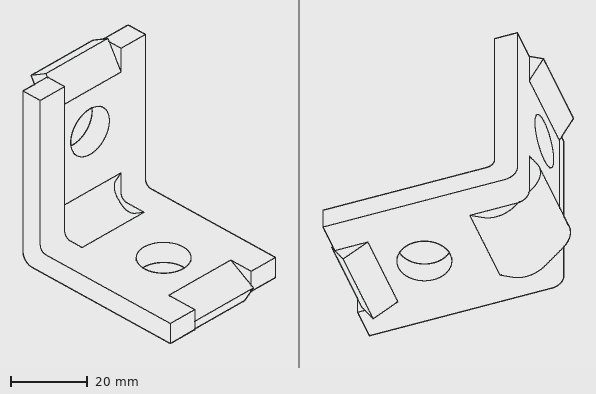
import cadquery as cq
import math

thickness = 6.35
leg_length = 54.1
total_width = 41.3
band_width = 23.1
strip_width = (total_width - band_width) / 2
front_strip_shift = 2.05
strip_outer_radius = 3.35
strip_inner_radius = 2.1

bend_angle = math.radians(30)
bulge_start = 16.5
corner_cut = 3.05
corner_thickness = 5.8
bulge_outer_radius = 7.2
bulge_inner_radius = 4.45
lip_start = 44.9
lip_length = 7.95

hole_diameter = 14.35
hole_offset = 33.35


def extrude_outline(points, width, y_min):
    """Extrude an (X, Z) outline along +Y, starting at y_min."""
    return cq.Workplane("XZ", origin=(0, y_min, 0)).polyline(points).close().extrude(-width)


def fillet_corner(body, point, y_mid, radius):
    """Round the Y-parallel edge that passes through an (X, Z) point."""
    edge = cq.selectors.NearestToPointSelector((point[0], y_mid, point[1]))
    return body.edges("|Y").edges(edge).fillet(radius)


def make_strip(x_min, y_min):
    """Plain L-shaped side strip with a rounded corner."""
    outer = (x_min, 0)
    inner = (x_min + thickness, thickness)
    x_max = x_min + leg_length
    outline = [
        outer, (x_max, 0), (x_max, thickness),
        inner, (inner[0], leg_length), (x_min, leg_length),
    ]
    strip = extrude_outline(outline, strip_width, y_min)
    y_mid = y_min + strip_width / 2
    strip = fillet_corner(strip, outer, y_mid, strip_outer_radius)
    return fillet_corner(strip, inner, y_mid, strip_inner_radius)


def bulge_corner(face, start, diagonal):
    """Meeting point of the sloped bulge wall and the 45 degree line X + Z = diagonal."""
    slope = math.tan(bend_angle)
    z = (diagonal - face + start * slope) / (1 + slope)
    return (diagonal - z, z)


def swap(point):
    """Mirror an (X, Z) point from one leg to the other."""
    return (point[1], point[0])


def make_band():
    """Middle band, of constant thickness along the legs and lips."""
    bend_allowance = thickness * math.tan(bend_angle / 2)
    inner_bulge_start = bulge_start - bend_allowance
    inner_cut = corner_cut + corner_thickness * math.sqrt(2)
    outer_corner = bulge_corner(0, bulge_start, corner_cut)
    inner_corner = bulge_corner(thickness, inner_bulge_start, inner_cut)

    lip_outer = (
        -lip_length * math.sin(bend_angle),
        lip_start + lip_length * math.cos(bend_angle),
    )
    lip_inner = (
        lip_outer[0] + thickness * math.cos(bend_angle),
        lip_outer[1] + thickness * math.sin(bend_angle),
    )

    upright_half = [
        outer_corner, (0, bulge_start), (0, lip_start), lip_outer, lip_inner,
        (thickness, lip_start + bend_allowance), (thickness, inner_bulge_start), inner_corner,
    ]
    floor_half = [swap(point) for point in reversed(upright_half)]
    band = extrude_outline(upright_half + floor_half, band_width, -band_width / 2)

    for corner, radius in ((outer_corner, bulge_outer_radius), (inner_corner, bulge_inner_radius)):
        for point in (corner, swap(corner)):
            band = fillet_corner(band, point, 0, radius)
    return band


def make_hole(plane, center):
    """Cutter for a round hole through one leg, centred on its outer face."""
    cutter = cq.Workplane(plane, origin=center).circle(hole_diameter / 2)
    return cutter.extrude(2 * thickness, both=True)


front_strip = make_strip(front_strip_shift, -total_width / 2)
rear_strip = make_strip(0, band_width / 2)
result = make_band().union(front_strip).union(rear_strip)
result = result.cut(make_hole("XY", (hole_offset, 0, 0)))
result = result.cut(make_hole("YZ", (0, 0, hole_offset)))